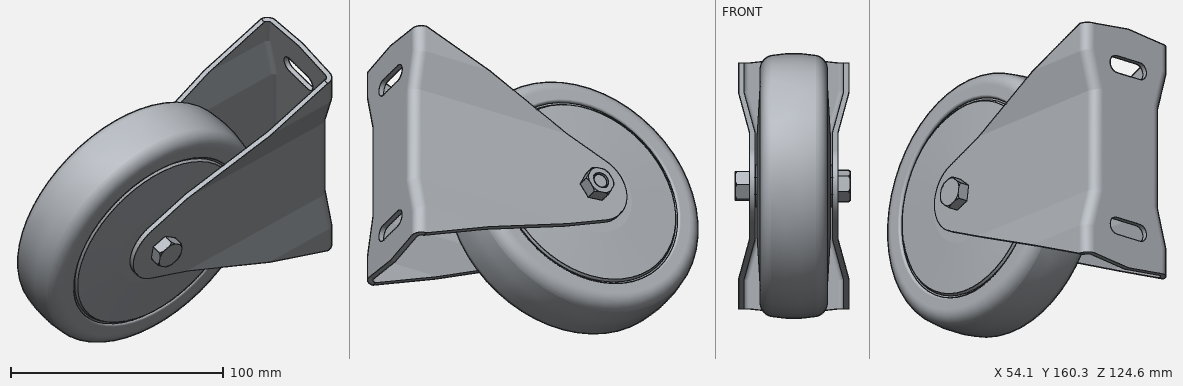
import cadquery as cq
import math


overall_length = 160.3

wheel_radius = 62.3
boss_radius = 22.5
boss_half_width = 17.3
sleeve_radius = 10.0
sleeve_half_width = 18.0
side_half_width = 15.9
groove_inner_radius = 46.6
groove_outer_radius = 48.4
groove_lip_fillet = 1.1
groove_depth = 1.3
groove_floor_radius = 47.5
groove_floor_half_width = side_half_width - groove_depth
side_outer_radius = 54.6
tread_half_width = 10.5
shoulder_radius = 61.4

sheet = 2.5
plate_back_y = overall_length - wheel_radius
bend_radius = 5.0
web_half_width = 20.8
flared_half_width = 26.0
web_half_height = 25.0
flare_half_height = 43.8
side_half_height = 57.9
plate_peak_height = 60.1
nose_radius = 17.6
slot_length = 22.5
slot_width = 8.5
slot_height = 40.7

bolt_radius = 4.0
bolt_end_chamfer = 0.6
bolt_end_recess = 0.6
hex_corner_radius = 7.5
hex_chamfer = 0.8
head_thickness = 5.8
head_turn = 21.0
nut_thickness = 6.7
nut_turn = -5.0


def mirrored(points):
    """The upper half of an upright outline followed by its reflection in Z = 0."""
    return points + [(x, -z) for x, z in reversed(points)]


def bracket_block(inset, rounded_bend):
    """A block whose side walls carry the flare, moved inwards from the bracket's skin by `inset`.

    The bend lines named by `rounded_bend`, "flare" or "web", are rounded with the sheet thickness.
    """
    flare_run = flare_half_height - web_half_height
    flare_rise = flared_half_width - web_half_width
    bend_shift = inset * math.tan(math.atan2(flare_rise, flare_run) / 2)
    web_x = web_half_width - inset
    web_z = web_half_height + bend_shift
    flare_x = flared_half_width - inset
    flare_z = flare_half_height + bend_shift
    right_wall = mirrored([(flare_x, plate_peak_height), (flare_x, flare_z), (web_x, web_z)])
    left_wall = [(-x, z) for x, z in reversed(right_wall)]
    back_y = plate_back_y - inset
    rounded_z = flare_z if rounded_bend == "flare" else web_z
    block = (
        cq.Workplane("XZ", origin=(0, back_y, 0))
        .polyline(right_wall + left_wall)
        .close()
        .extrude(back_y + nose_radius)
        .edges("|Y")
        .filter(lambda edge: math.isclose(abs(edge.Center().z), rounded_z, abs_tol=0.02))
        .fillet(sheet)
    )
    return block.faces(">Y").edges("not |X").fillet(bend_radius - inset)


def side_outline():
    """Side profile: edges that converge from the plate and run tangent into the round nose."""
    corner_y = plate_back_y - bend_radius
    corner_distance = math.hypot(corner_y, side_half_height)
    tangent_angle = math.atan2(side_half_height, corner_y) + math.acos(nose_radius / corner_distance)
    tangent_y = nose_radius * math.cos(tangent_angle)
    tangent_z = nose_radius * math.sin(tangent_angle)
    return (
        cq.Workplane("YZ")
        .moveTo(plate_back_y, side_half_height)
        .lineTo(corner_y, side_half_height)
        .lineTo(tangent_y, tangent_z)
        .threePointArc((-nose_radius, 0), (tangent_y, -tangent_z))
        .lineTo(corner_y, -side_half_height)
        .lineTo(plate_back_y, -side_half_height)
        .close()
        .extrude(flared_half_width, both=True)
    )


def plate_outline():
    """Block around the mounting plate, whose upper and lower edges rise to a peak at the middle."""
    half_width = flared_half_width - bend_radius
    corners = [(-half_width, side_half_height), (0, plate_peak_height), (half_width, side_half_height)]
    return (
        cq.Workplane("XZ", origin=(0, plate_back_y, 0))
        .polyline(mirrored(corners))
        .close()
        .extrude(sheet)
    )


def make_bracket():
    """Bent sheet trimmed to its outlines, with mounting slots in the plate and a hole for the bolt."""
    bent_sheet = bracket_block(0, "flare").cut(bracket_block(sheet, "web"))
    slots = (
        cq.Workplane("XZ", origin=(0, plate_back_y, 0))
        .pushPoints([(0, slot_height), (0, -slot_height)])
        .slot2D(slot_length, slot_width)
        .extrude(sheet)
    )
    bolt_hole = cq.Workplane("YZ").circle(bolt_radius).extrude(flared_half_width, both=True)
    return bent_sheet.intersect(side_outline().union(plate_outline())).cut(slots).cut(bolt_hole)


def is_groove_lip(edge):
    """Whether a circle of the wheel is the outer rim of a groove, level with the flat side."""
    on_rim = math.isclose(edge.radius(), groove_outer_radius, abs_tol=0.02)
    on_side = math.isclose(abs(edge.Center().x), side_half_width, abs_tol=0.02)
    return on_rim and on_side


def make_wheel():
    """Revolved wheel with a crowned tread, a round-lipped groove in each side and a bore for the bolt."""
    right_side = [
        (sleeve_half_width, bolt_radius),
        (sleeve_half_width, sleeve_radius),
        (boss_half_width, sleeve_radius),
        (boss_half_width, boss_radius),
        (side_half_width, groove_inner_radius),
        (groove_floor_half_width, groove_floor_radius),
        (groove_floor_half_width, groove_outer_radius),
        (side_half_width, groove_outer_radius),
        (side_half_width, side_outer_radius),
    ]
    left_side = [(-x, radius) for x, radius in right_side]
    shoulder_run = side_half_width - tread_half_width
    shoulder_rise = shoulder_radius - side_outer_radius
    shoulder_arc = (shoulder_run**2 + shoulder_rise**2) / (2 * shoulder_run)
    wheel = (
        cq.Workplane("XY")
        .polyline(left_side)
        .radiusArc((-tread_half_width, shoulder_radius), shoulder_arc)
        .threePointArc((0, wheel_radius), (tread_half_width, shoulder_radius))
        .radiusArc((side_half_width, side_outer_radius), shoulder_arc)
        .polyline(right_side[::-1], includeCurrent=False)
        .close()
        .revolve(360, (0, 0, 0), (1, 0, 0))
    )
    return wheel.edges("%CIRCLE").filter(is_groove_lip).fillet(groove_lip_fillet)


def hexagon(start_x, thickness, turn):
    """Hexagonal prism along +X from `start_x`, its corners cut back by a cone at the +X end."""
    prism = (
        cq.Workplane("YZ", origin=(start_x, 0, 0))
        .transformed(rotate=(0, 0, turn))
        .polygon(6, 2 * hex_corner_radius)
        .extrude(thickness)
    )
    cone = (
        cq.Workplane("YZ", origin=(start_x, 0, 0))
        .circle(hex_corner_radius)
        .extrude(thickness)
        .faces(">X")
        .chamfer(hex_chamfer)
    )
    return prism.intersect(cone)


def make_bolt():
    """Hexagon head on the +X side and a plain shank that ends just inside the nut."""
    shank_end_x = web_half_width + nut_thickness - bolt_end_recess
    shank = (
        cq.Workplane("YZ", origin=(-shank_end_x, 0, 0))
        .circle(bolt_radius)
        .extrude(shank_end_x + web_half_width)
        .faces("<X")
        .chamfer(bolt_end_chamfer)
    )
    return hexagon(web_half_width, head_thickness, head_turn).union(shank)


def make_nut():
    """Hexagon nut on the -X side."""
    nut = hexagon(web_half_width, nut_thickness, nut_turn).mirror("YZ")
    bore = cq.Workplane("YZ").circle(bolt_radius).extrude(-web_half_width - nut_thickness)
    return nut.cut(bore)


bracket = make_bracket()
wheel = make_wheel()
bolt = make_bolt()
nut = make_nut()
result = cq.Compound.makeCompound([bracket.val(), wheel.val(), bolt.val(), nut.val()])